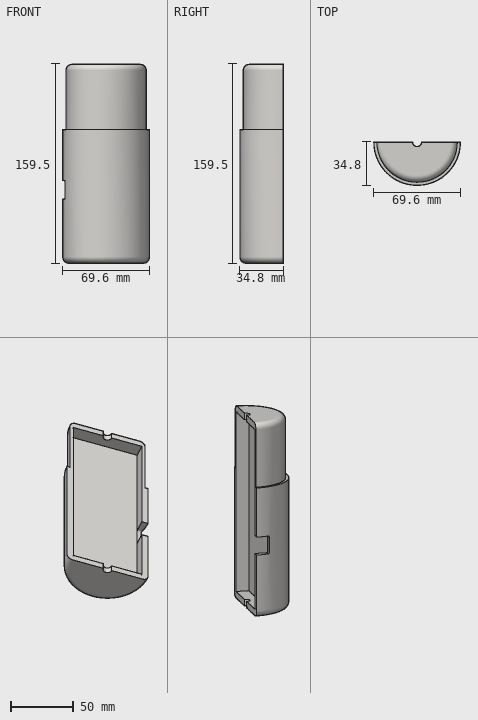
import cadquery as cq

height = 159.5
lower_radius = 34.8
upper_radius = 32.2
step_height = 107.0
end_fillet = 5.0

channel_radius = 3.5

cavity_wall = 5.5
cavity_width = 2 * (lower_radius - cavity_wall)
cavity_depth = 10.5

window_bottom = 51.5
window_height = 14.8
window_depth = 11.0
window_fillet = 1.5


def make_body():
    """Stepped cylinder with rounded ends, reduced to its -Y half."""
    lower = cq.Workplane("XY").circle(lower_radius).extrude(step_height)
    lower = lower.faces("<Z").edges().fillet(end_fillet)
    upper = (
        cq.Workplane("XY", origin=(0, 0, step_height))
        .circle(upper_radius)
        .extrude(height - step_height)
    )
    upper = upper.faces(">Z").edges().fillet(end_fillet)
    half_space = cq.Workplane("XY").box(
        2 * lower_radius, lower_radius, height, centered=(True, False, False)
    ).translate((0, -lower_radius, 0))
    return lower.union(upper).intersect(half_space)


def make_channel():
    return cq.Workplane("XY").circle(channel_radius).extrude(height)


def make_cavity():
    """Box with the same wall left at the sides and at both ends."""
    return cq.Workplane("XY").box(
        cavity_width, cavity_depth, height - 2 * cavity_wall, centered=(True, False, False)
    ).translate((0, -cavity_depth, cavity_wall))


def make_window():
    """Slot from outside the -X wall to the cavity, with rounded inner corners."""
    window = cq.Workplane("XY").box(
        cavity_wall, window_depth, window_height, centered=False
    ).translate((-lower_radius, -window_depth, window_bottom))
    return window.edges("|X and <Y").fillet(window_fillet)


result = make_body().cut(make_channel()).cut(make_cavity()).cut(make_window())